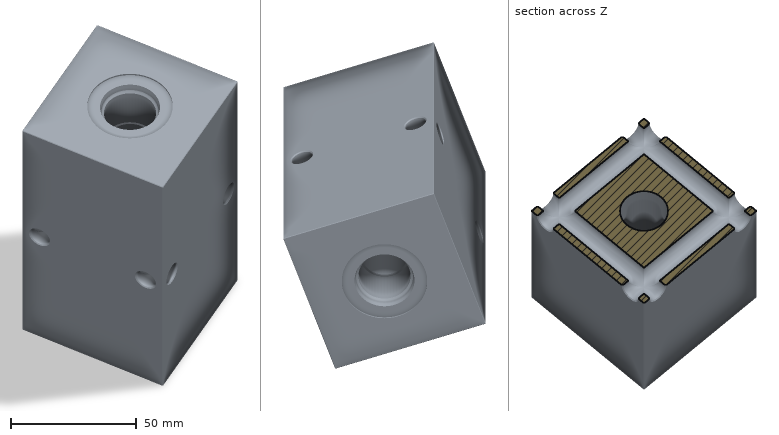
import cadquery as cq

length = 120.6
width = 63.5
edge_chamfer = 0.2

spot_face_diameter = 34.0
spot_face_depth = 0.7
seat_diameter = 23.9
seat_bottom_diameter = 22.7
seat_depth = 2.5
port_bore_diameter = 20.8
port_bore_depth = 21.7

passage_diameter = 19.0

hole_diameter = 8.7
hole_mouth_diameter = 9.5
hole_spacing = 47.8


def make_block():
    block = cq.Workplane("XY").box(width, width, length)
    return block.edges().chamfer(edge_chamfer)


def make_port_cutter():
    """Stepped port at the upper end, revolved about the Z axis."""
    top = length / 2
    seat_top = top - spot_face_depth
    seat_bottom = seat_top - seat_depth
    bore_bottom = top - port_bore_depth
    bore_chamfer = (seat_bottom_diameter - port_bore_diameter) / 2
    profile = [
        (0, top),
        (spot_face_diameter / 2, top),
        (spot_face_diameter / 2, seat_top),
        (seat_diameter / 2, seat_top),
        (seat_bottom_diameter / 2, seat_bottom),
        (port_bore_diameter / 2, seat_bottom - bore_chamfer),
        (port_bore_diameter / 2, bore_bottom),
        (0, bore_bottom),
    ]
    return cq.Workplane("XZ").polyline(profile).close().revolve(360, (0, 0), (0, 1))


def make_passage():
    return cq.Workplane("XY").circle(passage_diameter / 2).extrude(length / 2, both=True)


def make_hole_cutter():
    """Through hole along Z with a 45 degree chamfer at both mouths."""
    hole_radius = hole_diameter / 2
    mouth_radius = hole_mouth_diameter / 2
    face = width / 2
    chamfer_end = face - (mouth_radius - hole_radius)
    profile = [
        (0, -face),
        (mouth_radius, -face),
        (hole_radius, -chamfer_end),
        (hole_radius, chamfer_end),
        (mouth_radius, face),
        (0, face),
    ]
    return cq.Workplane("XZ").polyline(profile).close().revolve(360, (0, 0), (0, 1))


result = make_block().cut(make_passage())

port = make_port_cutter()
result = result.cut(port).cut(port.mirror("XY"))

hole_along_z = make_hole_cutter()
hole_along_y = hole_along_z.rotate((0, 0, 0), (1, 0, 0), 90)
hole_along_x = hole_along_z.rotate((0, 0, 0), (0, 1, 0), 90)
for offset in (-hole_spacing / 2, hole_spacing / 2):
    result = result.cut(hole_along_y.translate((offset, 0, 0)))
    result = result.cut(hole_along_x.translate((0, offset, 0)))